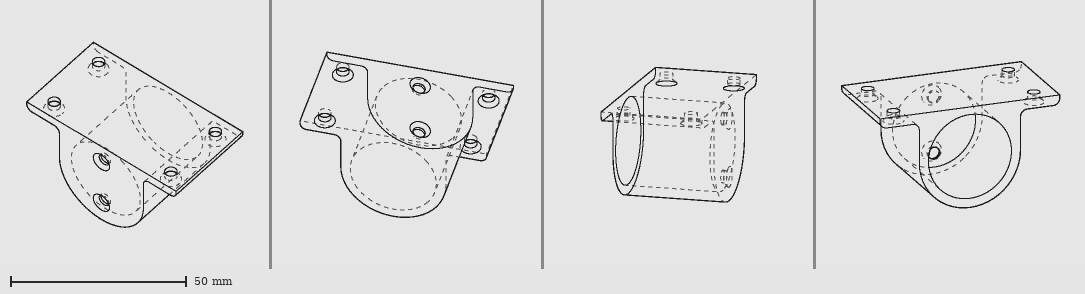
import cadquery as cq

plate_length = 55.0
depth = 30.0
plate_thickness = 3.0
edge_radius = 2.0

body_width = 31.0
body_radius = body_width / 2
overall_height = 30.5
socket_axis_z = body_radius - overall_height
junction_radius = 2.0

socket_diameter = 25.4
end_wall = 2.0

screw_diameter = 3.6
countersink_diameter = 6.0
countersink_angle = 90.0
wall_screw_spacing = 17.0
plate_screw_spacing_x = 43.0
plate_screw_spacing_y = 20.0

front_y = -depth / 2


def make_plate():
    """Flat plate with its lower edges rounded at both X ends."""
    plate = cq.Workplane("XY").rect(plate_length, depth).extrude(-plate_thickness)
    return plate.edges("|Y and <Z").fillet(edge_radius)


def make_body():
    """Straight-sided block ending in a half-round bottom."""
    return (
        cq.Workplane("XZ", origin=(0, front_y, 0))
        .moveTo(-body_radius, 0)
        .lineTo(-body_radius, socket_axis_z)
        .threePointArc((0, -overall_height), (body_radius, socket_axis_z))
        .lineTo(body_radius, 0)
        .close()
        .extrude(-depth)
    )


def fillet_junction(part):
    """Round the inside corners where the body meets the plate."""
    margin = junction_radius / 2
    corners = cq.selectors.BoxSelector(
        (-body_radius - margin, -depth, -plate_thickness - margin),
        (body_radius + margin, depth, -plate_thickness + margin),
    )
    return part.edges("|Y").edges(corners).fillet(junction_radius)


def cut_socket(part):
    """Bore the blind socket from the +Y end, leaving the end wall."""
    socket = (
        cq.Workplane("XZ", origin=(0, front_y + end_wall, socket_axis_z))
        .circle(socket_diameter / 2)
        .extrude(end_wall - depth)
    )
    return part.cut(socket)


def cut_countersunk_holes(part, face_plane, hole_points, thickness):
    """Countersunk holes sunk from face_plane through the given thickness."""
    return (
        cq.Workplane(face_plane)
        .add(part)
        .pushPoints(hole_points)
        .cskHole(screw_diameter, countersink_diameter, countersink_angle, depth=thickness)
    )


def cut_wall_screw_holes(part):
    """Two holes through the end wall, above and below the socket axis."""
    outer_face = cq.Plane.named("XZ", origin=(0, front_y, socket_axis_z))
    points = [(0, side * wall_screw_spacing / 2) for side in (-1, 1)]
    return cut_countersunk_holes(part, outer_face, points, end_wall)


def cut_plate_screw_holes(part):
    """Four holes through the plate flanges, countersunk from below."""
    underside = cq.Plane(origin=(0, 0, -plate_thickness), xDir=(1, 0, 0), normal=(0, 0, -1))
    points = [
        (x_side * plate_screw_spacing_x / 2, y_side * plate_screw_spacing_y / 2)
        for x_side in (-1, 1)
        for y_side in (-1, 1)
    ]
    return cut_countersunk_holes(part, underside, points, plate_thickness)


bracket = fillet_junction(make_plate().union(make_body()))
bracket = cut_socket(bracket)
bracket = cut_wall_screw_holes(bracket)
result = cut_plate_screw_holes(bracket).solids()